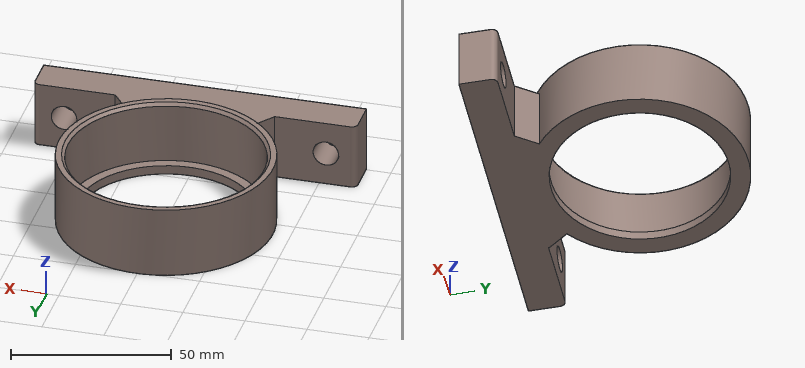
import cadquery as cq

bar_length = 104.0
bar_depth = 12.1
bar_height = 21.6
corner_radius = 2.0

ring_diameter = 69.0
ring_height = 23.5
ring_center_y = bar_depth + ring_diameter / 2
bore_diameter = 63.0
lip_diameter = 56.5
lip_height = 3.0
rim_chamfer = 1.0

web_base_width = 51.4
web_top_width = 41.2
web_reach = 6.9

hole_diameter = 8.2
hole_spacing = 84.3


def make_bar():
    bar = cq.Workplane("XY").box(bar_length, bar_depth, bar_height, centered=(True, False, False))
    bar = bar.edges("|Z and >Y").fillet(corner_radius)
    holes = (
        cq.Workplane("XZ", origin=(0, 0, bar_height / 2))
        .pushPoints([(-hole_spacing / 2, 0), (hole_spacing / 2, 0)])
        .circle(hole_diameter / 2)
        .extrude(-bar_depth)
    )
    return bar.cut(holes)


def make_web():
    web_end_y = bar_depth + web_reach
    return (
        cq.Workplane("XY")
        .moveTo(-web_base_width / 2, bar_depth)
        .lineTo(web_base_width / 2, bar_depth)
        .lineTo(web_top_width / 2, web_end_y)
        .lineTo(-web_top_width / 2, web_end_y)
        .close()
        .extrude(bar_height)
    )


def make_ring_blank():
    return cq.Workplane("XY").center(0, ring_center_y).circle(ring_diameter / 2).extrude(ring_height)


def make_ring_opening():
    """Stepped bore above a retaining lip, with a 45 degree chamfer at the rim."""
    lip_radius = lip_diameter / 2
    bore_radius = bore_diameter / 2
    profile = (
        cq.Workplane("XZ", origin=(0, ring_center_y, 0))
        .lineTo(lip_radius, 0)
        .lineTo(lip_radius, lip_height)
        .lineTo(bore_radius, lip_height)
        .lineTo(bore_radius, ring_height - rim_chamfer)
        .lineTo(bore_radius + rim_chamfer, ring_height)
        .lineTo(0, ring_height)
        .close()
    )
    return profile.revolve(360, (0, 0, 0), (0, 1, 0))


result = make_bar().union(make_web()).union(make_ring_blank()).cut(make_ring_opening())